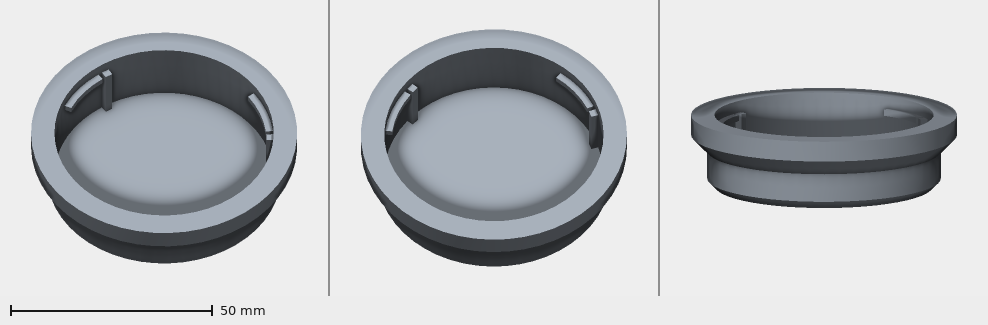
import cadquery as cq
import math

rim_radius = 33.0
rim_height = 5.0
body_radius = 29.01
body_height = 7.0
cone_height = 4.0
bottom_chamfer = 2.0
total_height = bottom_chamfer + body_height + cone_height + rim_height

bore_radius = 54.4 / 2
floor_thickness = 2.0

lock_count = 3
lock_depth = 1.8
lock_drop = 3.0
tab_thickness = 1.5
post_angles = (1.5, 5.7)
tab_angles = (7.9, 36.1)
wall_overlap = 0.3
lock_top = total_height - lock_drop


def make_cup():
    """Flanged round cup with a 45 degree bottom chamfer and a blind bore."""
    cone_bottom = bottom_chamfer + body_height
    cone_top = cone_bottom + cone_height
    profile = [
        (0, 0),
        (body_radius - bottom_chamfer, 0),
        (body_radius, bottom_chamfer),
        (body_radius, cone_bottom),
        (rim_radius, cone_top),
        (rim_radius, total_height),
        (bore_radius, total_height),
        (bore_radius, floor_thickness),
        (0, floor_thickness),
    ]
    return cq.Workplane("XZ").polyline(profile).close().revolve(360, (0, 0), (0, 1))


def polar_point(radius, angle):
    """Point at an angle counterclockwise from -Y."""
    turn = math.radians(angle)
    return (radius * math.sin(turn), -radius * math.cos(turn))


def ring_sector(angles, bottom, top):
    """Piece of a ring that stands inward from the bore wall and is rooted in it."""
    start, end = angles
    middle = (start + end) / 2
    inner = bore_radius - lock_depth
    outer = bore_radius + wall_overlap
    return (
        cq.Workplane("XY")
        .workplane(offset=bottom)
        .moveTo(*polar_point(inner, start))
        .threePointArc(polar_point(inner, middle), polar_point(inner, end))
        .lineTo(*polar_point(outer, end))
        .threePointArc(polar_point(outer, middle), polar_point(outer, start))
        .close()
        .extrude(top - bottom)
    )


post = ring_sector(post_angles, floor_thickness - wall_overlap, lock_top)
tab = ring_sector(tab_angles, lock_top - tab_thickness, lock_top)

result = make_cup()
for index in range(lock_count):
    lock_turn = index * 360 / lock_count
    for piece in (post, tab):
        result = result.union(piece.rotate((0, 0, 0), (0, 0, 1), lock_turn))